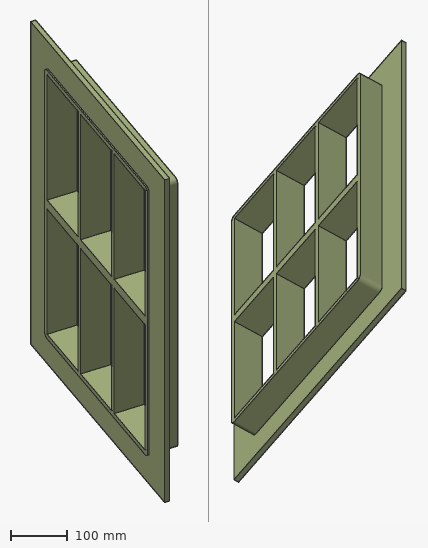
import cadquery as cq

flange_width = 521.5
flange_height = 716.0
flange_thickness = 10.0

total_depth = 60.0
front_lip = 3.0
flange_margin = 60.0
frame_width = flange_width - 2 * flange_margin
frame_height = flange_height - 2 * flange_margin
frame_corner_radius = 10.0
frame_wall = 10.0

columns = 3
rows = 2
mullion_width = 10.0
transom_height = 20.0
window_width = (frame_width - 2 * frame_wall - (columns - 1) * mullion_width) / columns
window_height = (frame_height - 2 * frame_wall - (rows - 1) * transom_height) / rows


def upright_block(width, depth, height, front_y):
    """Block centred in X and Z, running from front_y towards +Y."""
    return cq.Workplane("XY").box(width, depth, height).translate((0, front_y + depth / 2, 0))


def make_flange():
    return upright_block(flange_width, flange_thickness, flange_height, front_lip)


def make_frame():
    block = upright_block(frame_width, total_depth, frame_height, 0)
    return block.edges("|Y").fillet(frame_corner_radius)


def cut_windows(body):
    """Cut the grid of through windows, leaving the mullions and the transom."""
    column_pitch = window_width + mullion_width
    row_pitch = window_height + transom_height
    window = upright_block(window_width, total_depth, window_height, 0)
    for column in range(columns):
        x = (column - (columns - 1) / 2) * column_pitch
        for row in range(rows):
            z = (row - (rows - 1) / 2) * row_pitch
            body = body.cut(window.translate((x, 0, z)))
    return body


result = cut_windows(make_flange().union(make_frame()))